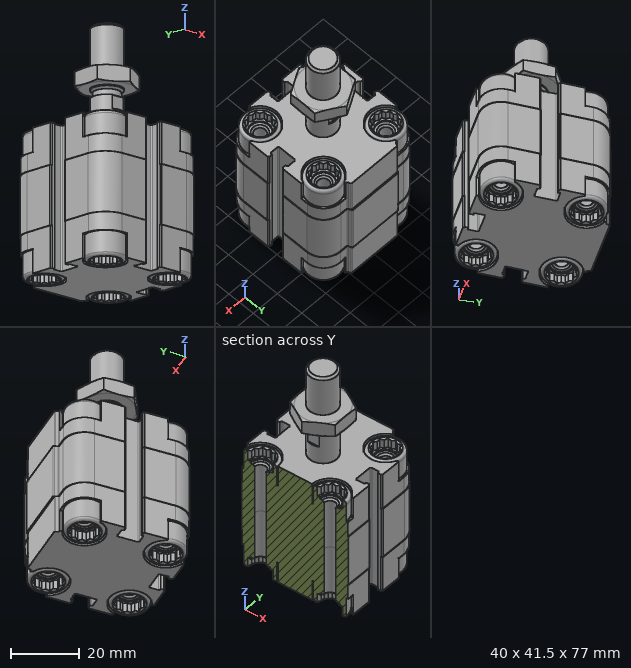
import cadquery as cq
import math

BODY_WIDTH = 40.0
BODY_HEIGHT = 44.5
CAP_HEIGHT = 13.0
CAP_INSET = 0.15
CORNER_RADIUS = 7.0
HALF_WIDTH = BODY_WIDTH / 2

RAIL_BASE_WIDTH = 20.2
RAIL_TOP_WIDTH = 19.2
BARREL_RAIL_RISE = 1.5
CAP_RAIL_RISE = 1.1
RAIL_FILLET = 0.4

SLOT_MOUTH_WIDTH = 5.5
SLOT_INNER_WIDTH = 7.0
SLOT_DEPTH = 5.0
SLOT_LIP_THICKNESS = 1.65
SLOT_FILLET = 0.4
SLOT_LIP_RADIUS = 0.4
SLOT_ANGLES = (-90, 0, 90)

BOLT_OFFSET = HALF_WIDTH - CORNER_RADIUS
HEAD_HEIGHT = 7.5
HEAD_DIAMETER = 12.5
HEAD_FILLET = 1.0
POCKET_DIAMETER = 13.1
POCKET_WALL_OFFSET = 2.35
QUADRANT_ANGLES = (0, 90, 180, 270)

SOCKET_FLATS = 8.1
SOCKET_DEPTH = 3.5
SOCKET_MOUTH_DIAMETER = 10.0
SOCKET_MOUTH_SLOPE = math.radians(30)
SOCKET_RECESS_DIAMETER = 7.2
SOCKET_RECESS_DEPTH = 4.1
BORE_MOUTH_DIAMETER = 5.4
BOLT_BORE_DIAMETER = 4.13

ROD_DIAMETER = 10.0
ROD_TOP = 77.0
ROD_BOTTOM = BODY_HEIGHT - CAP_HEIGHT
THREAD_LENGTH = 22.0
SHOULDER_Z = ROD_TOP - THREAD_LENGTH
UNDERCUT_DIAMETER = 8.47
UNDERCUT_HEIGHT = 1.9
THREAD_CHAMFER = (ROD_DIAMETER - UNDERCUT_DIAMETER) / 2
ROD_FLATS = 9.0
ROD_FLATS_HEIGHT = 4.25

NUT_FLATS = 17.0
NUT_HEIGHT = 5.0
NUT_BOTTOM = 58.0
NUT_CHAMFER_ANGLE = math.radians(15)


def hexagon_corner_diameter(flats):
    return flats / math.cos(math.radians(30))


def turned(points):
    """Solid of revolution about Z from (radius, z) points."""
    return cq.Workplane("XZ").polyline(points).close().revolve(360, (0, 0, 0), (0, 1, 0))


def slot_cutter(face_distance, height):
    """T-slot on the -Y side, with rounded lips meeting a face at the given distance."""
    inner_depth = SLOT_DEPTH - SLOT_LIP_THICKNESS
    inner = (
        cq.Workplane("XY")
        .center(0, -HALF_WIDTH + SLOT_LIP_THICKNESS + inner_depth / 2)
        .rect(SLOT_INNER_WIDTH, inner_depth)
        .extrude(height)
        .edges("|Z")
        .fillet(SLOT_FILLET)
    )
    wall_x = SLOT_MOUTH_WIDTH / 2
    lip_x = wall_x + SLOT_LIP_RADIUS
    face_y = -face_distance
    inner_y = -HALF_WIDTH + SLOT_DEPTH / 2
    mouth = (
        cq.Workplane("XY")
        .moveTo(-wall_x, inner_y)
        .lineTo(-wall_x, face_y + SLOT_LIP_RADIUS)
        .radiusArc((-lip_x, face_y), -SLOT_LIP_RADIUS)
        .lineTo(lip_x, face_y)
        .radiusArc((wall_x, face_y + SLOT_LIP_RADIUS), -SLOT_LIP_RADIUS)
        .lineTo(wall_x, inner_y)
        .close()
        .extrude(height)
    )
    return inner.union(mouth)


def rail(face_distance, rise, height):
    """Rail with sloping sides, standing on the +Y face."""
    top_y = HALF_WIDTH + rise
    base_x = RAIL_BASE_WIDTH / 2
    top_x = RAIL_TOP_WIDTH / 2
    return (
        cq.Workplane("XY")
        .polyline([(-base_x, 0), (-base_x, face_distance), (-top_x, top_y),
                   (top_x, top_y), (base_x, face_distance), (base_x, 0)])
        .close()
        .extrude(height)
    )


def housing_section(inset, rail_rise, height):
    """One length of the housing: rounded square, rail and T-slots."""
    face_distance = HALF_WIDTH - inset
    square = (
        cq.Workplane("XY")
        .rect(2 * face_distance, 2 * face_distance)
        .extrude(height)
        .edges("|Z")
        .fillet(CORNER_RADIUS - inset)
    )
    rail_corners = cq.selectors.BoxSelector(
        (-RAIL_BASE_WIDTH / 2 - RAIL_FILLET, face_distance - RAIL_FILLET, 0),
        (RAIL_BASE_WIDTH / 2 + RAIL_FILLET, face_distance + 2 * rail_rise, height),
    )
    section = square.union(rail(face_distance, rail_rise, height))
    section = section.edges("|Z").edges(rail_corners).fillet(RAIL_FILLET)
    for angle in SLOT_ANGLES:
        section = section.cut(slot_cutter(face_distance, height).rotate((0, 0, 0), (0, 0, 1), angle))
    return section


def corner_pocket():
    """Space around a bolt head in the top +X +Y corner, open to both side faces."""
    base = cq.Workplane("XY", origin=(0, 0, BODY_HEIGHT - HEAD_HEIGHT))
    ring = base.center(BOLT_OFFSET, BOLT_OFFSET).circle(POCKET_DIAMETER / 2).extrude(HEAD_HEIGHT)
    wall = BOLT_OFFSET - POCKET_WALL_OFFSET
    corner_size = HALF_WIDTH - wall
    corner = base.rect(corner_size, corner_size, centered=False).extrude(HEAD_HEIGHT)
    return ring.union(corner.translate((wall, wall, 0)))


def socket_cutter():
    """Twelve-point socket with a conical mouth and a stepped, countersunk floor."""
    top = BODY_HEIGHT
    corner_diameter = hexagon_corner_diameter(SOCKET_FLATS)
    floor = cq.Workplane("XY", origin=(0, 0, top - SOCKET_DEPTH))
    points = floor.polygon(6, corner_diameter).extrude(SOCKET_DEPTH)
    points = points.union(points.rotate((0, 0, 0), (0, 0, 1), 30))
    mouth_radius = SOCKET_MOUTH_DIAMETER / 2
    mouth_end_radius = SOCKET_FLATS / 2
    mouth_depth = (mouth_radius - mouth_end_radius) * math.tan(SOCKET_MOUTH_SLOPE)
    mouth = turned([(0, top), (mouth_radius, top), (mouth_end_radius, top - mouth_depth),
                    (0, top - mouth_depth)])
    recess_floor = top - SOCKET_RECESS_DEPTH
    bore_radius = BOLT_BORE_DIAMETER / 2
    bore_mouth_radius = BORE_MOUTH_DIAMETER / 2
    recess = turned([
        (0, top - SOCKET_DEPTH),
        (SOCKET_RECESS_DIAMETER / 2, top - SOCKET_DEPTH),
        (SOCKET_RECESS_DIAMETER / 2, recess_floor),
        (bore_mouth_radius, recess_floor),
        (bore_radius, recess_floor - bore_mouth_radius + bore_radius),
        (bore_radius, BODY_HEIGHT / 2),
        (0, BODY_HEIGHT / 2),
    ])
    return points.union(mouth).union(recess)


def bolt_head():
    """Round bolt head, flush with the top of the housing."""
    return (
        cq.Workplane("XY", origin=(0, 0, BODY_HEIGHT - HEAD_HEIGHT))
        .circle(HEAD_DIAMETER / 2)
        .extrude(HEAD_HEIGHT)
        .faces(">Z")
        .edges()
        .fillet(HEAD_FILLET)
    )


def at_each_corner(shape):
    """Copies at all four corners of the top, mirrored to the bottom as well."""
    mirrored = shape.mirror("XY", (0, 0, BODY_HEIGHT / 2))
    return [
        copy.rotate((0, 0, 0), (0, 0, 1), angle)
        for copy in (shape, mirrored)
        for angle in QUADRANT_ANGLES
    ]


def make_housing():
    cap = housing_section(CAP_INSET, CAP_RAIL_RISE, CAP_HEIGHT)
    barrel = housing_section(0, BARREL_RAIL_RISE, BODY_HEIGHT - 2 * CAP_HEIGHT)
    body = barrel.translate((0, 0, CAP_HEIGHT))
    for cap_bottom in (0, BODY_HEIGHT - CAP_HEIGHT):
        body = body.union(cap.translate((0, 0, cap_bottom)))
    body = body.clean()
    to_corner = (BOLT_OFFSET, BOLT_OFFSET, 0)
    for pocket in at_each_corner(corner_pocket()):
        body = body.cut(pocket)
    for head in at_each_corner(bolt_head().translate(to_corner)):
        body = body.union(head)
    for socket in at_each_corner(socket_cutter().translate(to_corner)):
        body = body.cut(socket)
    rod_hole = (
        cq.Workplane("XY", origin=(0, 0, ROD_BOTTOM))
        .circle(ROD_DIAMETER / 2)
        .extrude(BODY_HEIGHT - ROD_BOTTOM)
    )
    return body.cut(rod_hole)


def make_rod():
    radius = ROD_DIAMETER / 2
    undercut_radius = UNDERCUT_DIAMETER / 2
    undercut_top = SHOULDER_Z + UNDERCUT_HEIGHT
    rod = turned([
        (0, ROD_BOTTOM),
        (radius, ROD_BOTTOM),
        (radius, SHOULDER_Z),
        (undercut_radius, SHOULDER_Z),
        (undercut_radius, undercut_top),
        (radius, undercut_top + THREAD_CHAMFER),
        (radius, ROD_TOP - THREAD_CHAMFER),
        (undercut_radius, ROD_TOP),
        (0, ROD_TOP),
    ])
    flats_ring = (
        cq.Workplane("XY", origin=(0, 0, SHOULDER_Z - ROD_FLATS_HEIGHT))
        .rect(2 * ROD_DIAMETER, 2 * ROD_DIAMETER)
        .rect(2 * ROD_DIAMETER, ROD_FLATS)
        .extrude(ROD_FLATS_HEIGHT)
    )
    return rod.cut(flats_ring)


def make_nut():
    nut_top = NUT_BOTTOM + NUT_HEIGHT
    corner_diameter = hexagon_corner_diameter(NUT_FLATS)
    prism = (
        cq.Workplane("XY", origin=(0, 0, NUT_BOTTOM))
        .polygon(6, corner_diameter)
        .extrude(NUT_HEIGHT)
        .rotate((0, 0, 0), (0, 0, 1), 30)
    )
    face_radius = NUT_FLATS / 2
    corner_radius = corner_diameter / 2
    chamfer_height = (corner_radius - face_radius) * math.tan(NUT_CHAMFER_ANGLE)
    envelope = turned([
        (ROD_DIAMETER / 2, NUT_BOTTOM),
        (face_radius, NUT_BOTTOM),
        (corner_radius, NUT_BOTTOM + chamfer_height),
        (corner_radius, nut_top - chamfer_height),
        (face_radius, nut_top),
        (ROD_DIAMETER / 2, nut_top),
    ])
    return prism.intersect(envelope)


housing = make_housing()
rod = make_rod()
nut = make_nut()

result = cq.Compound.makeCompound([housing.val(), rod.val(), nut.val()])